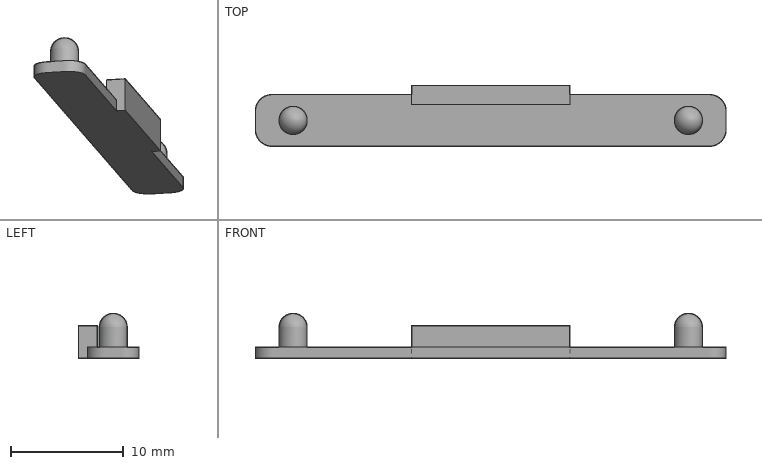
import cadquery as cq

plate_length = 41.7
plate_width = 4.6
plate_thickness = 1.0
corner_radius = 1.5

pin_diameter = 2.5
pin_radius = pin_diameter / 2
pin_spacing = 35.0
overall_height = 4.0
pin_shoulder_height = overall_height - pin_radius

tab_length = 14.0
tab_depth = 1.7
tab_height = 2.9
tab_overhang = 0.8
tab_rear = plate_width / 2 + tab_overhang


def make_plate():
    plate = cq.Workplane("XY").box(plate_length, plate_width, plate_thickness, centered=(True, True, False))
    return plate.edges("|Z").fillet(corner_radius)


def make_pin(x):
    """Round pin at the given X, rising from the underside level to a hemispherical tip."""
    shank = cq.Workplane("XY").center(x, 0).circle(pin_radius).extrude(pin_shoulder_height)
    dome = cq.Workplane("XY").sphere(pin_radius).translate((x, 0, pin_shoulder_height))
    return shank.union(dome)


def make_tab():
    """Block from the underside level upward, overhanging the rear edge of the plate."""
    tab = cq.Workplane("XY").box(tab_length, tab_depth, tab_height, centered=(True, True, False))
    return tab.translate((0, tab_rear - tab_depth / 2, 0))


result = make_plate().union(make_tab())
for pin_x in (-pin_spacing / 2, pin_spacing / 2):
    result = result.union(make_pin(pin_x))